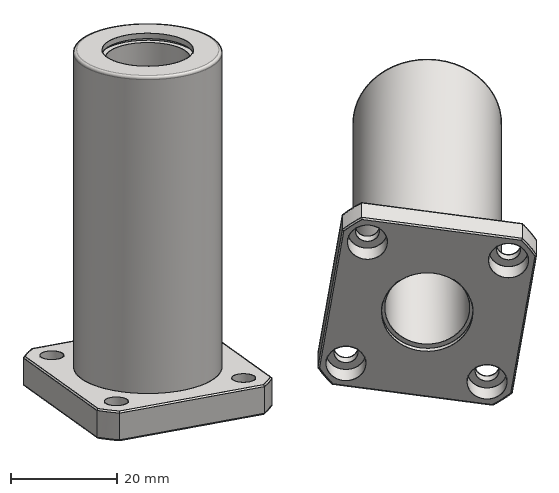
import cadquery as cq

total_length = 70.0
body_diameter = 28.0
body_rim_radius = 0.6

bore_diameter = 16.0
mouth_diameter = 17.2
mouth_depth = 1.1
groove_diameter = 18.4
groove_width = 0.55

flange_thickness = 6.0
flange_side = 37.0
flange_corner_diameter = 48.0
flange_edge_chamfer = 0.3

hole_count = 4
hole_circle_diameter = 38.0
hole_diameter = 4.5
counterbore_diameter = 7.5
counterbore_depth = 4.1


def disc(diameter, height, base_z=0.0):
    """Cylinder on the Z axis, rising from base_z."""
    return cq.Workplane("XY").workplane(offset=base_z).circle(diameter / 2).extrude(height)


def make_flange():
    square = (
        cq.Workplane("XY")
        .transformed(rotate=(0, 0, 45))
        .rect(flange_side, flange_side)
        .extrude(flange_thickness)
    )
    plate = square.intersect(disc(flange_corner_diameter, flange_thickness))
    return plate.faces("<Z or >Z").edges().chamfer(flange_edge_chamfer)


def make_body():
    return disc(body_diameter, total_length).faces(">Z").edges().fillet(body_rim_radius)


def cut_bore(part):
    part = part.cut(disc(bore_diameter, total_length))
    lower_recess = disc(mouth_diameter, mouth_depth).union(disc(groove_diameter, groove_width, mouth_depth))
    upper_recess = lower_recess.mirror("XY", (0, 0, total_length / 2))
    return part.cut(lower_recess).cut(upper_recess)


def cut_mounting_holes(part):
    hole = disc(hole_diameter, flange_thickness)
    stepped_hole = hole.union(disc(counterbore_diameter, counterbore_depth))
    for index in range(hole_count):
        placed_hole = stepped_hole.translate((hole_circle_diameter / 2, 0, 0))
        angle = index * 360.0 / hole_count
        part = part.cut(placed_hole.rotate((0, 0, 0), (0, 0, 1), angle))
    return part


result = make_flange().union(make_body())
result = cut_bore(result)
result = cut_mounting_holes(result)